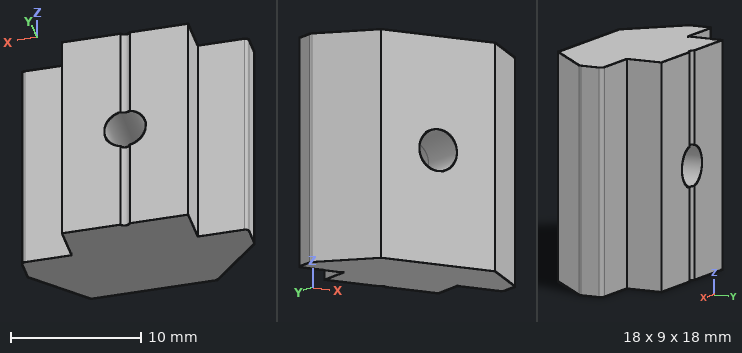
import cadquery as cq

width = 18.0
depth = 9.0
length = 18.0

stem_width = 10.0
stem_height = 3.0
bevel = (width - stem_width) / 2
edge_radius = 0.3

groove_width = 0.75
groove_depth = 0.2

hole_diameter = 3.3

half_width = width / 2
half_stem = stem_width / 2
half_groove = groove_width / 2
front = -depth / 2
back = depth / 2
shoulder = back - stem_height
wing_bottom = front + bevel


def make_body():
    """Extrude the T-shaped section along Z and round the wing edges."""
    body = (
        cq.Workplane("XY")
        .workplane(offset=-length / 2)
        .moveTo(-half_stem, front)
        .lineTo(half_stem, front)
        .lineTo(half_width, wing_bottom)
        .lineTo(half_width, shoulder)
        .lineTo(half_stem, shoulder)
        .lineTo(half_stem, back)
        .lineTo(half_groove, back)
        .threePointArc((0, back - groove_depth), (-half_groove, back))
        .lineTo(-half_stem, back)
        .lineTo(-half_stem, shoulder)
        .lineTo(-half_width, shoulder)
        .lineTo(-half_width, wing_bottom)
        .close()
        .extrude(length)
    )
    return body.faces("<X or >X").edges("|Z").fillet(edge_radius)


def make_hole():
    """Cylinder along Y, through the middle of the part."""
    return cq.Workplane("XZ").circle(hole_diameter / 2).extrude(depth, both=True)


result = make_body().cut(make_hole())